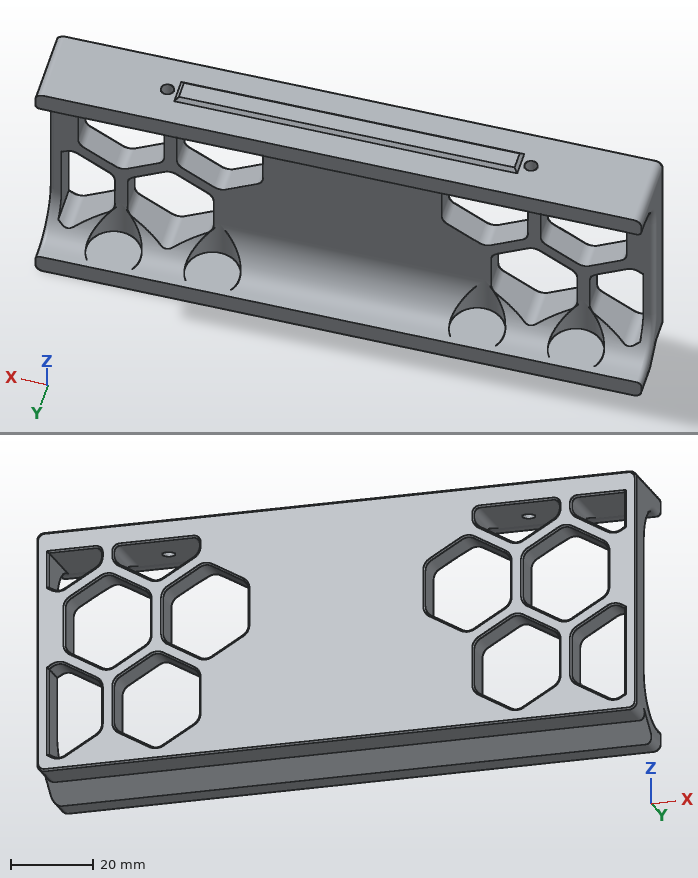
import cadquery as cq
import math

length = 153
depth = 20.0
body_top = 66.0
body_bottom = 4.3
corner_radius = 2.0
front_chamfer = 0.5

foot_front = 14.2
slope_run = 5.5

wall = 7.2
flange = 5.2
channel_radius = 10.7
end_fillet = 1.2

relief_radius = 6.9
relief_height = 12.2

rail_length = 86.6
rail_width = 6.5
rail_height = 0.9
rail_slope_angle = 45
pin_diameter = 3.2
pin_x = 45.9

cell_pitch = 25.0
cell_width = 21.7
cell_fillet = 2.98
crop_fillet = 1.5
cell_chamfer = 0.5
middle_row_z = 41.2
window_top = 60.6
window_side = 73.5

row_pitch = cell_pitch * math.sin(math.radians(60))
cell_corner_diameter = cell_width / math.cos(math.radians(30))
rail_y = depth / 2


def box(x_size, y_min, y_max, z_min, z_max):
    """Box centred on X between the given Y and Z limits."""
    return cq.Workplane("XY").box(
        x_size, y_max - y_min, z_max - z_min, centered=(True, False, False)
    ).translate((0, y_min, z_min))


def make_body():
    body = box(length, 0, depth, body_bottom, body_top).edges("|Y").fillet(corner_radius)
    return body.faces("<Y").edges().chamfer(front_chamfer)


def make_foot():
    """Full-height rounded block, kept only behind the sloped front of the foot."""
    block = box(length, 0, depth, 0, body_top).edges("|Y").fillet(corner_radius)
    join_z = body_bottom + corner_radius
    join_y = foot_front - slope_run * join_z / body_bottom
    keep = (
        cq.Workplane("YZ")
        .polyline([(foot_front, 0), (depth, 0), (depth, join_z), (join_y, join_z)])
        .close()
        .extrude(length / 2, both=True)
    )
    return block.intersect(keep)


def cut_channel(block):
    """Cut the rounded channel along X, open to the rear, and round over its rim at both ends."""
    channel_top = body_top - flange
    channel = box(length, wall, 2 * depth, flange, channel_top)
    channel = channel.edges("|X and <Y").fillet(channel_radius)
    part = block.cut(channel)
    margin = end_fillet / 2
    for end_x in (-length / 2, length / 2):
        rim = cq.selectors.BoxSelector(
            (end_x - margin, wall - margin, flange - margin),
            (end_x + margin, depth - margin, channel_top + margin),
        )
        part = part.edges(rim).fillet(end_fillet)
    return part


def make_reliefs(x_places):
    """Vertical cylinders that clear the lower channel corner, tangent to the channel wall."""
    relief_y = wall + relief_radius
    return (
        cq.Workplane("XY", origin=(0, 0, flange))
        .pushPoints([(x, relief_y) for x in x_places])
        .circle(relief_radius)
        .extrude(relief_height)
    )


def make_rail():
    """Rail with a flat top and sloped sides."""
    return (
        cq.Workplane("XY", origin=(0, rail_y, body_top))
        .rect(rail_length, rail_width)
        .extrude(rail_height, taper=rail_slope_angle)
    )


def make_pin_holes():
    """Holes through the top flange into the channel."""
    return (
        cq.Workplane("XY", origin=(0, 0, middle_row_z))
        .pushPoints([(-pin_x, rail_y), (pin_x, rail_y)])
        .circle(pin_diameter / 2)
        .extrude(body_top - middle_row_z)
    )


def make_window(x, z):
    """Hexagonal window cropped to the frame, with rounded corners and a chamfered front rim."""
    cell = (
        cq.Workplane("XZ", origin=(x, 0, z))
        .transformed(rotate=(0, 0, 30))
        .polygon(6, cell_corner_diameter)
        .extrude(-depth)
    )
    below_top = box(2 * length, 0, depth, 0, window_top)
    inside_frame = box(2 * window_side, 0, depth, 0, body_top)
    window = cell.edges("|Y").fillet(cell_fillet).intersect(below_top)
    if z + cell_width / 2 > window_top:
        window = window.faces(">Z").edges("|Y").fillet(crop_fillet)
    window = window.intersect(inside_frame)
    rim = (
        window.faces("<Y")
        .wires()
        .toPending()
        .offset2D(cell_chamfer)
        .extrude(-cell_chamfer, taper=45, combine=False)
    )
    return window.union(rim)


result = cut_channel(make_body().union(make_foot()))
result = result.union(make_rail()).cut(make_pin_holes())

outer_row_x = [pin_x, pin_x + cell_pitch]
middle_row_x = [x - cell_pitch / 2 for x in outer_row_x]
result = result.cut(make_reliefs([side * x for x in middle_row_x for side in (-1, 1)]))

rows = [
    (middle_row_z + row_pitch, outer_row_x),
    (middle_row_z, middle_row_x),
    (middle_row_z - row_pitch, outer_row_x),
]
for z, x_places in rows:
    for x in x_places:
        window = make_window(x, z)
        result = result.cut(window).cut(window.mirror("YZ"))